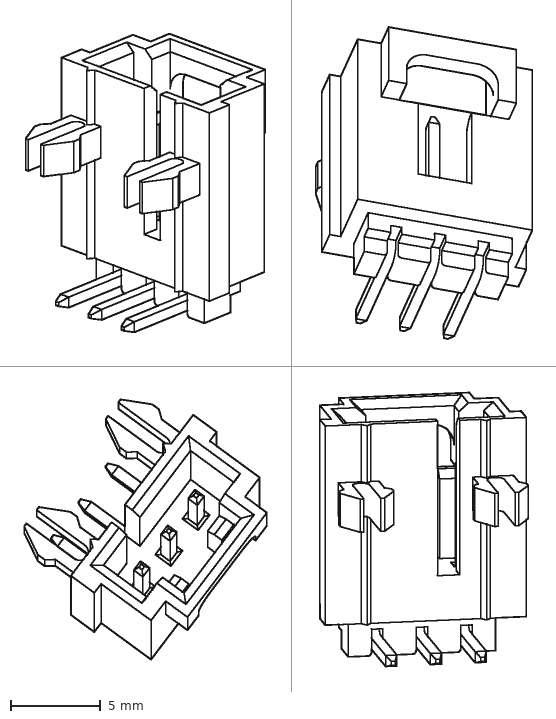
import cadquery as cq


overall_height = 13.59
shroud_height = 11.43
body_width = 10.15
body_rear = 5.11
flange_width = 11.43
flange_rear = 1.63
tower_width = 7.42
tower_rear = 6.63
tower_bottom = 7.61

floor_z = 2.57
cavity_width = 8.13
cavity_front = 1.05
cavity_rear = 4.1
key_width = 5.3
key_rear = 5.6
bevel_width = 0.53
bevel_depth = 0.48
bevel_z = shroud_height - bevel_depth

slot_width = 1.25
slot_center = 1.29
rear_window_width = 3.1
sill_bevel = 0.48
arch_top = 9.91
arch_radius = 1.2

rib_center = 3.4
rib_half_width = 0.27
rib_height = 0.38

latch_center = 3.82
latch_z = 7.19
latch_thickness = 1.9
latch_half_root = 1.15
latch_half_hook = 1.52
latch_half_tip = 0.69
hook_start = -1.63
hook_front = -2.1
taper_start = -2.58
latch_tip = -4.16
latch_slot_radius = 0.48
latch_slot_end = -0.33

carrier_width = 8.37
carrier_front = 1.2
carrier_rear = 4.1
carrier_step_y = 3.32
carrier_step_z = -1.11
carrier_bottom = shroud_height - overall_height
notch_top = -0.63
notch_radius = 0.22

pin_pitch = 2.54
pin_size = 0.64
pin_y = 2.57
pin_tail_z = -1.47
pin_top = 8.83
pin_tail_end = -3.67
pin_tip_length = 0.6
pin_tip_size = 0.23
pin_bend_radius = 0.33
pin_funnel_width = 1.09
pin_funnel_depth = (pin_funnel_width - pin_size) / 2
pin_xs = [-pin_pitch, 0, pin_pitch]


def block(x_range, y_range, z_range):
    """Axis-aligned box between the given limits."""
    size = [high - low for low, high in (x_range, y_range, z_range)]
    corner = (x_range[0], y_range[0], z_range[0])
    return cq.Workplane("XY").box(*size, centered=False).translate(corner)


def centered_block(width, y_range, z_range):
    """Box that is symmetric about the mid-plane."""
    return block((-width / 2, width / 2), y_range, z_range)


def rectangle_wire(width, y_range, z):
    front, rear = y_range
    half = width / 2
    points = [(-half, front), (half, front), (half, rear), (-half, rear)]
    return cq.Wire.makePolygon([cq.Vector(x, y, z) for x, y in points], close=True)


def tapered_block(lower, upper):
    """Loft between two (width, y_range, z) rectangles."""
    wires = [rectangle_wire(*lower), rectangle_wire(*upper)]
    return cq.Workplane(cq.Solid.makeLoft(wires, True))


def shroud_outside():
    full_height = (0, shroud_height)
    body = centered_block(body_width, (0, body_rear), full_height)
    flange = centered_block(flange_width, (0, flange_rear), full_height)
    tower = centered_block(tower_width, (0, tower_rear), (tower_bottom, shroud_height))
    shell = body.union(flange).union(tower)
    for x in (-rib_center, rib_center):
        rib = (
            cq.Workplane("XY")
            .moveTo(x - rib_half_width, 0)
            .lineTo(x, -rib_height)
            .lineTo(x + rib_half_width, 0)
            .close()
            .extrude(shroud_height)
        )
        shell = shell.union(rib)
    return shell


def mating_cavity():
    main = centered_block(cavity_width, (cavity_front, cavity_rear), (floor_z, shroud_height))
    main_mouth = tapered_block(
        (cavity_width, (cavity_front, cavity_rear), bevel_z),
        (cavity_width + 2 * bevel_width, (cavity_front - bevel_width, cavity_rear), shroud_height),
    )
    key = centered_block(key_width, (cavity_front, key_rear), (tower_bottom, shroud_height))
    key_mouth = tapered_block(
        (key_width, (cavity_rear, key_rear), bevel_z),
        (key_width + 2 * bevel_width, (cavity_rear, key_rear + bevel_width), shroud_height),
    )
    return main.union(main_mouth).union(key).union(key_mouth)


def front_slot():
    half = slot_width / 2
    return block(
        (slot_center - half, slot_center + half),
        (-rib_height, cavity_rear),
        (floor_z, shroud_height),
    )


def rear_window():
    """Opening in the rear wall, with a bevelled sill on each side of it."""
    window = centered_block(rear_window_width, (cavity_front, body_rear), (floor_z, tower_bottom))
    sill = (
        cq.Workplane("YZ")
        .moveTo(cavity_rear, tower_bottom)
        .lineTo(cavity_rear + sill_bevel, tower_bottom)
        .lineTo(cavity_rear, tower_bottom - sill_bevel)
        .close()
        .extrude(key_width / 2, both=True)
    )
    return window.union(sill)


def tower_arch():
    """Round-cornered opening through the rear wall of the tower."""
    return (
        centered_block(key_width, (cavity_rear, tower_rear), (tower_bottom, arch_top))
        .edges("|Y and >Z")
        .fillet(arch_radius)
    )


def latch(x):
    """Split arrowhead prong that points forward."""
    outline = [
        (latch_half_root, 0),
        (latch_half_root, hook_start),
        (latch_half_hook, hook_front),
        (latch_half_hook, taper_start),
        (latch_half_tip, latch_tip),
    ]
    mirrored = [(-px, py) for px, py in reversed(outline)]
    prong = cq.Workplane("XY").polyline(outline + mirrored).close().extrude(latch_thickness)
    arc_center = latch_slot_end - latch_slot_radius
    split = (
        cq.Workplane("XY")
        .moveTo(-latch_slot_radius, latch_tip)
        .lineTo(-latch_slot_radius, arc_center)
        .threePointArc((0, latch_slot_end), (latch_slot_radius, arc_center))
        .lineTo(latch_slot_radius, latch_tip)
        .close()
        .extrude(latch_thickness)
    )
    return prong.cut(split).translate((x, 0, latch_z - latch_thickness / 2))


def carrier():
    """Stepped block below the shroud, notched for each pin tail."""
    carrier_body = (
        cq.Workplane("YZ")
        .polyline([
            (carrier_front, 0),
            (carrier_rear, 0),
            (carrier_rear, carrier_step_z),
            (carrier_step_y, carrier_step_z),
            (carrier_step_y, carrier_bottom),
            (carrier_front, carrier_bottom),
        ])
        .close()
        .extrude(carrier_width / 2, both=True)
    )
    half = pin_size / 2
    for x in pin_xs:
        notch = block(
            (x - half, x + half), (carrier_front, carrier_rear), (carrier_bottom, notch_top)
        )
        carrier_body = carrier_body.cut(notch)
    mouth_reach = pin_pitch + pin_size
    notch_mouths = cq.selectors.BoxSelector(
        (-mouth_reach, carrier_front, carrier_bottom - notch_radius),
        (mouth_reach, carrier_rear, carrier_bottom + notch_radius),
    )
    return carrier_body.edges("|Y").edges(notch_mouths).fillet(notch_radius)


def pin(x):
    """Square pin, upright in the cavity and bent forward below it."""
    half = pin_size / 2
    tip_half = pin_tip_size / 2
    outer_radius = pin_bend_radius + pin_size
    front, rear = pin_y - half, pin_y + half
    tail_top, tail_bottom = pin_tail_z + half, pin_tail_z - half
    tail_shoulder = pin_tail_end + pin_tip_length
    profile = (
        cq.Workplane("YZ")
        .moveTo(front, pin_top - pin_tip_length)
        .lineTo(pin_y - tip_half, pin_top)
        .lineTo(pin_y + tip_half, pin_top)
        .lineTo(rear, pin_top - pin_tip_length)
        .lineTo(rear, tail_bottom + outer_radius)
        .radiusArc((rear - outer_radius, tail_bottom), outer_radius)
        .lineTo(tail_shoulder, tail_bottom)
        .lineTo(pin_tail_end, pin_tail_z - tip_half)
        .lineTo(pin_tail_end, pin_tail_z + tip_half)
        .lineTo(tail_shoulder, tail_top)
        .lineTo(front - pin_bend_radius, tail_top)
        .radiusArc((front, tail_top + pin_bend_radius), -pin_bend_radius)
        .close()
        .extrude(half, both=True)
    )
    upright_end = [(half, pin_top - pin_tip_length), (half, pin_top), (tip_half, pin_top)]
    tail_end = [(half, tail_shoulder), (half, pin_tail_end), (tip_half, pin_tail_end)]
    for side in (-1, 1):
        upright_waste = (
            cq.Workplane("XZ")
            .polyline([(side * px, pz) for px, pz in upright_end])
            .close()
            .extrude(-body_rear)
        )
        tail_waste = (
            cq.Workplane("XY")
            .workplane(offset=tail_bottom)
            .polyline([(side * px, py) for px, py in tail_end])
            .close()
            .extrude(pin_size)
        )
        profile = profile.cut(upright_waste).cut(tail_waste)
    return profile.translate((x, 0, 0))


def pin_funnel(x):
    """Square countersink around a pin in the cavity floor."""
    half_narrow, half_wide = pin_size / 2, pin_funnel_width / 2
    return tapered_block(
        (pin_size, (pin_y - half_narrow, pin_y + half_narrow), floor_z - pin_funnel_depth),
        (pin_funnel_width, (pin_y - half_wide, pin_y + half_wide), floor_z),
    ).translate((x, 0, 0))


result = shroud_outside().cut(mating_cavity()).cut(front_slot())
result = result.cut(rear_window()).cut(tower_arch())
result = result.union(carrier())
for latch_x in (-latch_center, latch_center):
    result = result.union(latch(latch_x))
for pin_x in pin_xs:
    result = result.cut(pin_funnel(pin_x)).union(pin(pin_x))